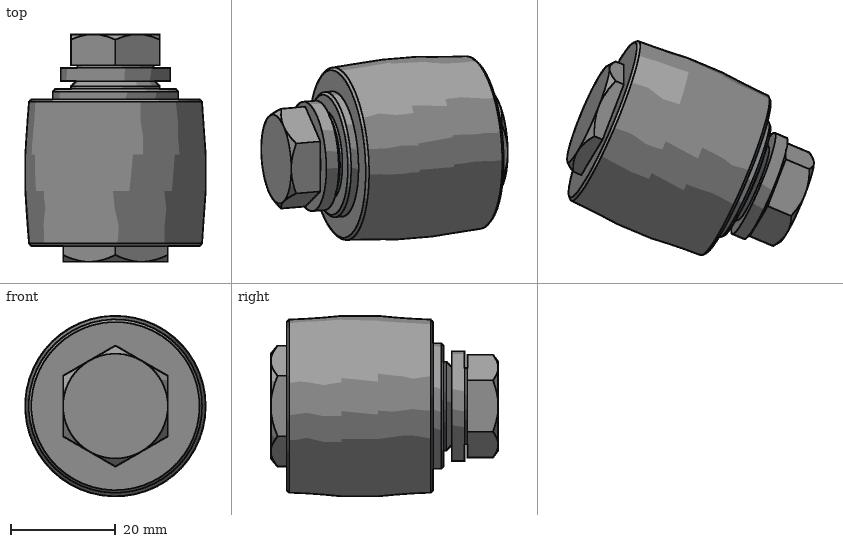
import cadquery as cq
import math


roller_length = 28.0
roller_diameter = 34.5
roller_end_diameter = 33.1
roller_band_length = 7.0
roller_chamfer = 0.5
boss_diameter = 24.0
boss_height = 2.0
boss_chamfer = 0.5

pin_diameter = 17.0
pin_projection = 1.5
pin_tip_chamfer = 1.0
pin_head_flats = 20.0
pin_head_height = 3.0
pin_head_chamfer_height = 1.3

washer_diameter = 21.0
washer_bore = 10.5
washer_thickness = 2.5

bolt_diameter = 10.0
bolt_length = 20.0
bolt_head_flats = 17.0
bolt_head_height = 6.4
bolt_head_chamfer_height = 1.0
bolt_face_diameter = 14.63
bolt_face_height = 0.5

boss_end = roller_length + boss_height
pin_tip = boss_end + pin_projection
bolt_seat = pin_tip + washer_thickness
bolt_hex_start = bolt_seat + bolt_face_height
bolt_top = bolt_seat + bolt_head_height
bolt_end = bolt_seat - bolt_length


def cylinder(diameter, y_start, y_end):
    """Cylinder on the Y axis between two places."""
    disc = cq.Workplane("XZ", origin=(0, y_end, 0)).circle(diameter / 2)
    return disc.extrude(y_end - y_start)


def hex_head(flats, y_base, y_outer, chamfer_height):
    """Hexagon with corners on Z, its outer corners turned off by a cone down to the flats."""
    corner_radius = flats / math.sqrt(3)
    y_low = min(y_base, y_outer)
    y_high = max(y_base, y_outer)
    hexagon = (
        cq.Workplane("XZ", origin=(0, y_high, 0))
        .polygon(6, 2 * corner_radius)
        .extrude(y_high - y_low)
        .rotate((0, 0, 0), (0, 1, 0), 30)
    )
    y_shoulder = y_outer - math.copysign(chamfer_height, y_outer - y_base)
    turned_blank = (
        cq.Workplane("XY")
        .moveTo(0, y_base)
        .lineTo(corner_radius, y_base)
        .lineTo(corner_radius, y_shoulder)
        .lineTo(flats / 2, y_outer)
        .lineTo(0, y_outer)
        .close()
        .revolve(360, (0, 0, 0), (0, 1, 0))
    )
    return hexagon.intersect(turned_blank)


def make_roller():
    """Barrel that tapers gently from a cylindrical middle band to both ends."""
    radius = roller_diameter / 2
    end_radius = roller_end_diameter / 2
    face_radius = end_radius - roller_chamfer
    boss_radius = boss_diameter / 2
    band_start = (roller_length - roller_band_length) / 2
    band_end = band_start + roller_band_length
    barrel = (
        cq.Workplane("XY")
        .moveTo(0, 0)
        .lineTo(face_radius, 0)
        .lineTo(end_radius, roller_chamfer)
        .lineTo(radius, band_start)
        .lineTo(radius, band_end)
        .lineTo(end_radius, roller_length - roller_chamfer)
        .lineTo(face_radius, roller_length)
        .lineTo(boss_radius, roller_length)
        .lineTo(boss_radius, boss_end - boss_chamfer)
        .lineTo(boss_radius - boss_chamfer, boss_end)
        .lineTo(0, boss_end)
        .close()
        .revolve(360, (0, 0, 0), (0, 1, 0))
    )
    return barrel.cut(cylinder(pin_diameter, 0, boss_end))


def make_pin():
    """Headed pin with a blind hole that the bolt shank fills."""
    shank = cylinder(pin_diameter, 0, pin_tip).faces(">Y").chamfer(pin_tip_chamfer)
    head = hex_head(pin_head_flats, 0, -pin_head_height, pin_head_chamfer_height)
    return shank.union(head).cut(cylinder(bolt_diameter, bolt_end, pin_tip))


def make_washer():
    """Flat ring with clearance around the bolt shank."""
    disc = cylinder(washer_diameter, pin_tip, bolt_seat)
    return disc.cut(cylinder(washer_bore, pin_tip, bolt_seat))


def make_bolt():
    """Hexagon bolt: shank, washer face and head in line."""
    shank = cylinder(bolt_diameter, bolt_end, bolt_seat)
    washer_face = cylinder(bolt_face_diameter, bolt_seat, bolt_hex_start)
    head = hex_head(bolt_head_flats, bolt_hex_start, bolt_top, bolt_head_chamfer_height)
    return shank.union(washer_face).union(head)


roller = make_roller()
pin = make_pin()
washer = make_washer()
bolt = make_bolt()

result = cq.Compound.makeCompound([roller.val(), pin.val(), washer.val(), bolt.val()])